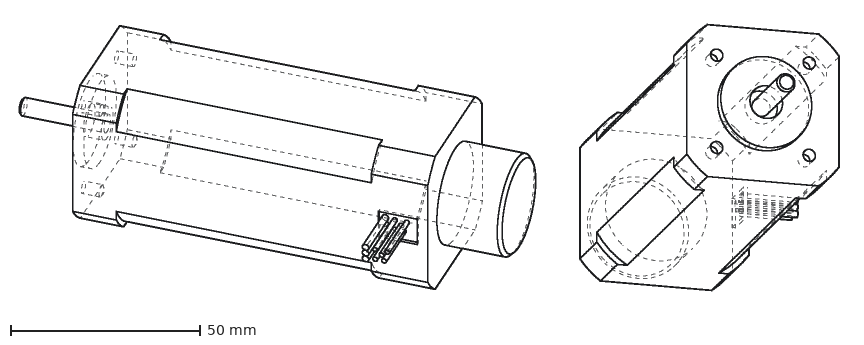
import cadquery as cq

shaft_length = 22.0
pilot_length = 3.0
body_length = 100.0
encoder_length = 18.0
mounting_face = shaft_length
pilot_face = mounting_face - pilot_length
body_end = mounting_face + body_length
overall_length = body_end + encoder_length

body_width = 42.0
cap_corner_diameter = 52.0
waist_corner_diameter = 49.0
front_cap_length = 12.3
rear_cap_length = 15.9
waist_start = mounting_face + front_cap_length
waist_end = body_end - rear_cap_length

pilot_diameter = 25.1
shaft_diameter = 5.0
shaft_chamfer = 0.6
bore_diameter = 9.0
bore_depth = 5.0
encoder_diameter = 28.0
encoder_chamfer = 1.0

hole_diameter = 3.33
hole_spacing = 25.5
hole_depth = 5.0
drill_cone_height = 1.0
flat_hole = (1, 1)

outlet_length = 11.0
outlet_height = 8.0
outlet_depth = 1.0
outlet_to_body_end = 3.0
outlet_end = body_end - outlet_to_body_end
outlet_start = outlet_end - outlet_length
side_face = -body_width / 2
outlet_floor = side_face + outlet_depth

lead_reach = 14.3
lead_length = lead_reach + outlet_depth
power_lead_diameter = 1.8
power_lead_count = 3
power_lead_offset = 1.7
power_lead_x = outlet_start + power_lead_offset
signal_lead_diameter = 1.3
signal_lead_places = [(4.4, 1.7), (7.8, 1.7), (6.2, 0.4), (4.4, -1.3), (6.9, -1.3)]


def axial_cylinder(diameter, start, end):
    """Cylinder on the motor axis between two X stations."""
    return cq.Workplane("YZ", origin=(start, 0, 0)).circle(diameter / 2).extrude(end - start)


def rounded_square(corner_diameter, start, end):
    """Square bar whose corners are cut by a cylinder on the motor axis."""
    square = cq.Workplane("YZ", origin=(start, 0, 0)).rect(body_width, body_width).extrude(end - start)
    return square.intersect(axial_cylinder(corner_diameter, start, end))


def mounting_hole(side_y, side_z):
    """Cutter for one blind mounting hole."""
    radius = hole_diameter / 2
    hole_end = mounting_face + hole_depth
    center = (0, side_y * hole_spacing / 2, side_z * hole_spacing / 2)
    cutter = axial_cylinder(hole_diameter, mounting_face, hole_end)
    if (side_y, side_z) != flat_hole:
        cone = cq.Solid.makeCone(
            radius, 0, drill_cone_height, pnt=cq.Vector(hole_end, 0, 0), dir=cq.Vector(1, 0, 0)
        )
        cutter = cutter.union(cq.Workplane(cone))
    return cutter.translate(center)


def make_motor():
    """Housing, pilot, encoder cover and shaft as one solid."""
    motor = rounded_square(cap_corner_diameter, mounting_face, waist_start)
    motor = motor.union(rounded_square(waist_corner_diameter, waist_start, waist_end))
    motor = motor.union(rounded_square(cap_corner_diameter, waist_end, body_end))
    motor = motor.union(axial_cylinder(pilot_diameter, pilot_face, mounting_face))

    encoder = axial_cylinder(encoder_diameter, body_end, overall_length)
    motor = motor.union(encoder.faces(">X").chamfer(encoder_chamfer))

    bore_floor = pilot_face + bore_depth
    motor = motor.cut(axial_cylinder(bore_diameter, pilot_face, bore_floor))
    shaft = axial_cylinder(shaft_diameter, 0, bore_floor)
    motor = motor.union(shaft.faces("<X").chamfer(shaft_chamfer))

    for side_y in (-1, 1):
        for side_z in (-1, 1):
            motor = motor.cut(mounting_hole(side_y, side_z))

    outlet = cq.Workplane("XY").box(outlet_length, outlet_depth, outlet_height, centered=(False, False, True))
    return motor.cut(outlet.translate((outlet_start, side_face, 0)))


def make_lead(diameter, x, z):
    """Straight round lead standing on the outlet floor and pointing to -Y."""
    return cq.Workplane("XZ", origin=(x, outlet_floor, z)).circle(diameter / 2).extrude(lead_length)


motor = make_motor()

power_leads = []
for index in range(power_lead_count):
    height = (index - (power_lead_count - 1) / 2) * power_lead_diameter
    power_leads.append(make_lead(power_lead_diameter, power_lead_x, height))

signal_leads = []
for offset, height in signal_lead_places:
    signal_leads.append(make_lead(signal_lead_diameter, outlet_start + offset, height))

result = cq.Compound.makeCompound(
    [motor.val()] + [lead.val() for lead in power_leads + signal_leads]
)